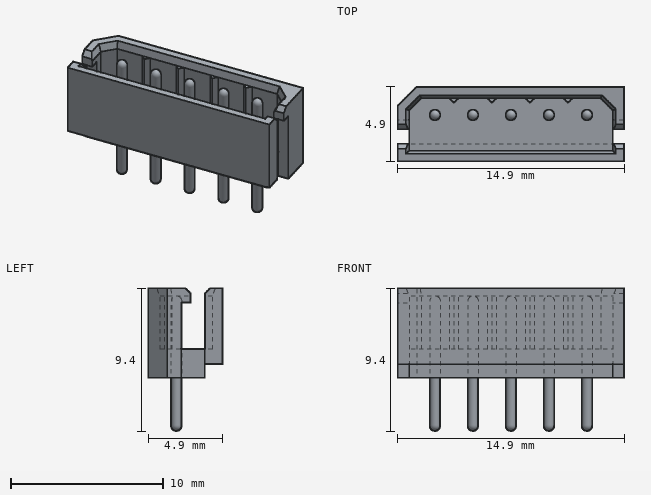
import cadquery as cq
import math


pin_count = 5
pitch = 2.5
pin_diameter = 0.7
pin_radius = pin_diameter / 2
pin_bottom = -3.5
pin_top = 5.4

length = 14.9
depth = 4.9
height = 5.9
back_y = 1.85
front_y = back_y - depth
half_length = length / 2
corner_chamfer = 1.25

wall = 0.75
front_wall = 0.7
floor_z = 1.9
cavity_back_y = back_y - wall
cavity_front_y = front_y + front_wall
cavity_half_length = half_length - wall
cavity_corner = 0.8
lead_in_width = 0.2
lead_in_depth = 0.5

back_leg_depth = 2.16
lip_reach = 0.64
front_leg_depth = 1.17
opening_front_y = front_y + front_leg_depth
opening_back_y = back_y - back_leg_depth
lip_y = opening_back_y - lip_reach
lip_bottom_z = 4.95
mouth_chamfer = 0.35

front_wall_bottom_z = 0.9

rib_depth = 0.3
rib_top_z = height - lead_in_depth

pin_positions = [(i - (pin_count - 1) / 2) * pitch for i in range(pin_count)]
rib_positions = [x + pitch / 2 for x in pin_positions[:-1]]


def block(x_min, x_max, y_min, y_max, z_min, z_max):
    """Box between the given limits."""
    size = (x_max - x_min, y_max - y_min, z_max - z_min)
    return cq.Workplane("XY").box(*size, centered=False).translate((x_min, y_min, z_min))


def make_shell():
    """Outer block with one chamfered back corner and the recess under the front wall."""
    shell = block(-half_length, half_length, front_y, back_y, 0, height)
    shell = shell.edges("|Z and <X and >Y").chamfer(corner_chamfer)
    recess = block(-half_length, half_length, front_y, opening_front_y, 0, front_wall_bottom_z)
    return shell.cut(recess)


def make_cavity():
    """Cavity volume with chamfered back corners and a flared lead-in at the top."""
    outline = (
        cq.Workplane("XY")
        .moveTo(-cavity_half_length, cavity_front_y)
        .lineTo(cavity_half_length, cavity_front_y)
        .lineTo(cavity_half_length, cavity_back_y - cavity_corner)
        .lineTo(cavity_half_length - cavity_corner, cavity_back_y)
        .lineTo(cavity_corner - cavity_half_length, cavity_back_y)
        .lineTo(-cavity_half_length, cavity_back_y - cavity_corner)
        .close()
    )
    lower_wire = outline.val()
    upper_wire = lower_wire.offset2D(lead_in_width, "intersection")[0]
    cavity = outline.extrude(height - floor_z).translate((0, 0, floor_z))
    lead_in = cq.Solid.makeLoft(
        [
            lower_wire.translate(cq.Vector(0, 0, height - lead_in_depth)),
            upper_wire.translate(cq.Vector(0, 0, height)),
        ],
        True,
    )
    return cavity.union(cq.Workplane(lead_in))


def make_end_openings():
    """Cutter for both end walls: a tall opening below the lip and a flared mouth beside it."""
    profile = (
        cq.Workplane("YZ")
        .moveTo(opening_front_y, 0)
        .lineTo(opening_back_y, 0)
        .lineTo(opening_back_y, lip_bottom_z)
        .lineTo(lip_y, lip_bottom_z)
        .lineTo(lip_y, height - mouth_chamfer)
        .lineTo(lip_y + mouth_chamfer, height)
        .lineTo(opening_front_y - mouth_chamfer, height)
        .lineTo(opening_front_y, height - mouth_chamfer)
        .close()
        .extrude(wall)
    )
    left = profile.translate((-half_length, 0, 0))
    right = profile.translate((cavity_half_length, 0, 0))
    return left.union(right)


def make_rib(x):
    """Triangular rib from the cavity floor up to the lead-in."""
    return (
        cq.Workplane("XY", origin=(x, cavity_back_y, floor_z))
        .polyline([(-rib_depth, 0), (0, -rib_depth), (rib_depth, 0)])
        .close()
        .extrude(rib_top_z - floor_z)
    )


def make_pin(x):
    """Round pin with hemispherical tips, revolved about its own axis."""
    arc_reach = pin_radius * math.sqrt(0.5)
    lower_center = pin_bottom + pin_radius
    upper_center = pin_top - pin_radius
    return (
        cq.Workplane("XZ", origin=(x, 0, 0))
        .moveTo(0, pin_bottom)
        .threePointArc((arc_reach, lower_center - arc_reach), (pin_radius, lower_center))
        .lineTo(pin_radius, upper_center)
        .threePointArc((arc_reach, upper_center + arc_reach), (0, pin_top))
        .close()
        .revolve(360, (0, 0), (0, 1))
    )


def make_housing():
    """Housing with its cavity, end openings, ribs and pin holes."""
    housing = make_shell().cut(make_cavity()).cut(make_end_openings())
    for x in rib_positions:
        housing = housing.union(make_rib(x))
    pin_holes = (
        cq.Workplane("XY")
        .pushPoints([(x, 0) for x in pin_positions])
        .circle(pin_radius)
        .extrude(floor_z)
    )
    return housing.cut(pin_holes)


housing = make_housing()
pins = [make_pin(x) for x in pin_positions]

result = cq.Compound.makeCompound([housing.val(), *[pin.val() for pin in pins]])